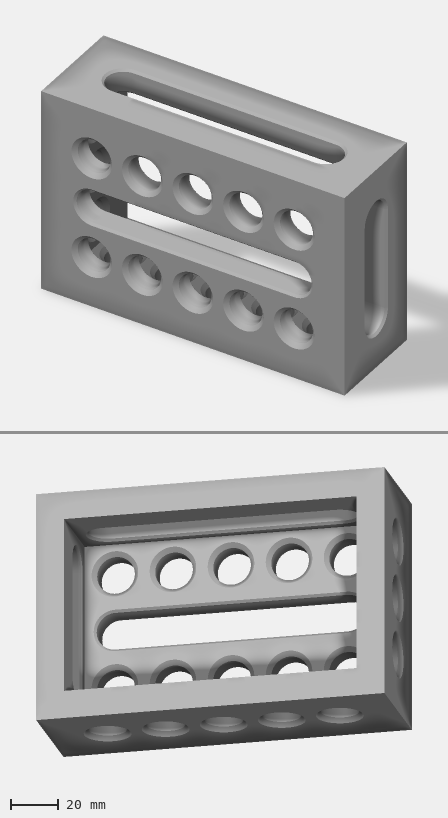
import cadquery as cq

length = 150.0
depth = 49.0
height = length * 2 / 3
wall = 12.0

pitch = length / 6
front_to_hole_axis = pitch
hole_diameter = 16.2
hole_chamfer = 2.0
long_row_count = 5
side_row_count = 3

slot_width = 16.2
slot_chamfer = 1.0

front_face = cq.Plane(origin=(0, 0, 0), xDir=(1, 0, 0), normal=(0, -1, 0))
top_face = cq.Plane(origin=(0, front_to_hole_axis, height / 2), xDir=(1, 0, 0), normal=(0, 0, 1))
bottom_face = cq.Plane(origin=(0, front_to_hole_axis, -height / 2), xDir=(1, 0, 0), normal=(0, 0, -1))
left_face = cq.Plane(origin=(-length / 2, front_to_hole_axis, 0), xDir=(0, 0, 1), normal=(-1, 0, 0))
right_face = cq.Plane(origin=(length / 2, front_to_hole_axis, 0), xDir=(0, 0, 1), normal=(1, 0, 0))


def row_points(count, offset=0.0):
    """Evenly pitched points along a face's local X, centred on its origin."""
    return [((i - (count - 1) / 2) * pitch, offset) for i in range(count)]


def hole_cutters(face, points):
    """Holes through one wall, countersunk on both its outer and inner surfaces."""
    radius = hole_diameter / 2
    mouth_radius = radius + hole_chamfer
    outer = cq.Workplane(face).pushPoints(points)
    inner = cq.Workplane(face).workplane(offset=-wall).pushPoints(points)
    through = outer.circle(radius).extrude(-wall)
    outer_mouths = outer.circle(mouth_radius).extrude(-hole_chamfer, taper=45)
    inner_mouths = inner.circle(mouth_radius).extrude(hole_chamfer, taper=45)
    return through.union(outer_mouths).union(inner_mouths)


def slot_cutter(face, row_count):
    """Rounded slot spanning a row of holes, chamfered on both its outer and inner surfaces."""
    slot_length = (row_count - 1) * pitch + slot_width
    mouth_length = slot_length + 2 * slot_chamfer
    mouth_width = slot_width + 2 * slot_chamfer
    outer = cq.Workplane(face)
    inner = outer.workplane(offset=-wall)
    through = outer.slot2D(slot_length, slot_width).extrude(-wall)
    outer_mouth = outer.slot2D(mouth_length, mouth_width).extrude(-slot_chamfer, taper=45)
    inner_mouth = inner.slot2D(mouth_length, mouth_width).extrude(slot_chamfer, taper=45)
    return through.union(outer_mouth).union(inner_mouth)


body = cq.Workplane("XY").box(length, depth, height, centered=(True, False, True))
cavity = (
    cq.Workplane("XY")
    .box(length - 2 * wall, depth - wall, height - 2 * wall, centered=(True, False, True))
    .translate((0, wall, 0))
)
body = body.cut(cavity)

body = body.cut(slot_cutter(front_face, long_row_count))
body = body.cut(slot_cutter(top_face, long_row_count))
body = body.cut(slot_cutter(right_face, side_row_count))

for row_offset in (-pitch, pitch):
    body = body.cut(hole_cutters(front_face, row_points(long_row_count, row_offset)))

body = body.cut(hole_cutters(bottom_face, row_points(long_row_count)))
body = body.cut(hole_cutters(left_face, row_points(side_row_count)))

result = body